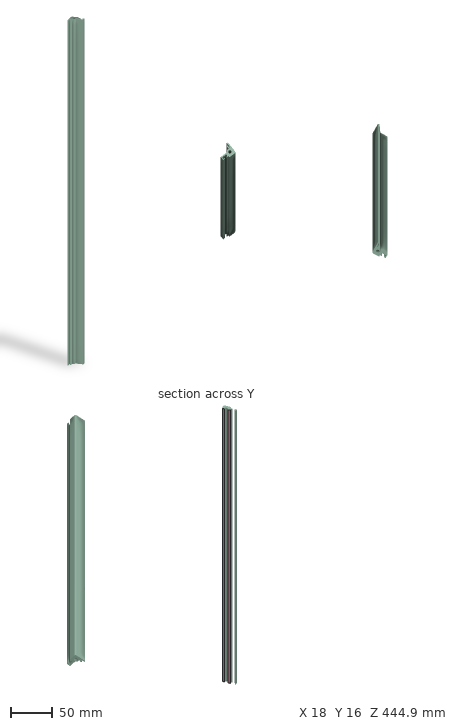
import cadquery as cq
import math

WIDTH = 18.0
DEPTH = 16.0
LENGTH = 444.91

CORNER_RADIUS = 2.0
TIP_RADIUS = 1.0

LEG_THICKNESS = 1.8
GROOVE_WIDTH = 0.8
GROOVE_ROOF_Y = 6.0

FINGER_THICKNESS = 1.3
NOSE_Y = 2.5
NOSE_FLAT = 0.45
NOSE_BEVEL_WIDTH = 0.65
NOSE_BEVEL_ANGLE = 35.0
BARB_OVERHANG = 1.15
LEAD_IN_SLOPE = 1.5

RECESS_ROOF_Y = 6.85
RECESS_END_X = 6.35

BLOCK_WIDTH = 10.0
ARM_BOTTOM_Y = 9.1
ARM_TOP_Y = 14.0
LIP_THICKNESS = 1.0
SLOT_FLOOR_Y = 10.6
SLOT_WIDTH = 6.2
SLOT_OPENING = 3.0
SLOT_CENTER_X = (BLOCK_WIDTH + WIDTH) / 2

SCREW_DIAMETER = 4.0
SCREW_X = 5.3
SCREW_Y = 10.8


def draw_tip_and_groove(outline):
    """Rounded tip of the left leg, then its inner side up to the groove roof."""
    arc_inset = TIP_RADIUS * (1 - math.sqrt(0.5))
    return (
        outline.moveTo(0, TIP_RADIUS)
        .threePointArc((arc_inset, arc_inset), (TIP_RADIUS, 0))
        .lineTo(LEG_THICKNESS, 0)
        .lineTo(LEG_THICKNESS, GROOVE_ROOF_Y)
        .lineTo(LEG_THICKNESS + GROOVE_WIDTH, GROOVE_ROOF_Y)
    )


def draw_snap_finger(outline):
    """Finger with a bevelled nose and a barb, then the recess and the 45 degree face."""
    left = LEG_THICKNESS + GROOVE_WIDTH
    right = left + FINGER_THICKNESS
    nose_start = left + NOSE_BEVEL_WIDTH
    nose_end = nose_start + NOSE_FLAT
    bevel_height = NOSE_BEVEL_WIDTH * math.tan(math.radians(NOSE_BEVEL_ANGLE))
    barb_x = right + BARB_OVERHANG
    barb_y = NOSE_Y + LEAD_IN_SLOPE * (barb_x - nose_end)
    diagonal_rise = ARM_BOTTOM_Y - RECESS_ROOF_Y
    return (
        outline.lineTo(left, NOSE_Y + bevel_height)
        .lineTo(nose_start, NOSE_Y)
        .lineTo(nose_end, NOSE_Y)
        .lineTo(barb_x, barb_y)
        .lineTo(right, barb_y)
        .lineTo(right, RECESS_ROOF_Y)
        .lineTo(RECESS_END_X, RECESS_ROOF_Y)
        .lineTo(RECESS_END_X + diagonal_rise, ARM_BOTTOM_Y)
    )


def draw_slotted_arm(outline):
    """Right arm with the T-slot between two lips."""
    lip_bottom = ARM_TOP_Y - LIP_THICKNESS
    slot_left = SLOT_CENTER_X - SLOT_WIDTH / 2
    slot_right = SLOT_CENTER_X + SLOT_WIDTH / 2
    opening_left = SLOT_CENTER_X - SLOT_OPENING / 2
    opening_right = SLOT_CENTER_X + SLOT_OPENING / 2
    return (
        outline.lineTo(WIDTH, ARM_BOTTOM_Y)
        .lineTo(WIDTH, ARM_TOP_Y)
        .lineTo(opening_right, ARM_TOP_Y)
        .lineTo(opening_right, lip_bottom)
        .lineTo(slot_right, lip_bottom)
        .lineTo(slot_right, SLOT_FLOOR_Y)
        .lineTo(slot_left, SLOT_FLOOR_Y)
        .lineTo(slot_left, lip_bottom)
        .lineTo(opening_left, lip_bottom)
        .lineTo(opening_left, ARM_TOP_Y)
        .lineTo(BLOCK_WIDTH, ARM_TOP_Y)
    )


def draw_rounded_corner(outline):
    """Back wall and the rounded outer corner, closing the outline."""
    arc_inset = CORNER_RADIUS * (1 - math.sqrt(0.5))
    return (
        outline.lineTo(BLOCK_WIDTH, DEPTH)
        .lineTo(CORNER_RADIUS, DEPTH)
        .threePointArc((arc_inset, DEPTH - arc_inset), (0, DEPTH - CORNER_RADIUS))
        .close()
    )


def profile_body():
    """The whole section extruded along Z."""
    outline = draw_tip_and_groove(cq.Workplane("XY"))
    outline = draw_snap_finger(outline)
    outline = draw_slotted_arm(outline)
    outline = draw_rounded_corner(outline)
    return outline.extrude(LENGTH)


def screw_channel():
    """Round bore along the full length."""
    return cq.Workplane("XY").center(SCREW_X, SCREW_Y).circle(SCREW_DIAMETER / 2).extrude(LENGTH)


result = profile_body().cut(screw_channel())